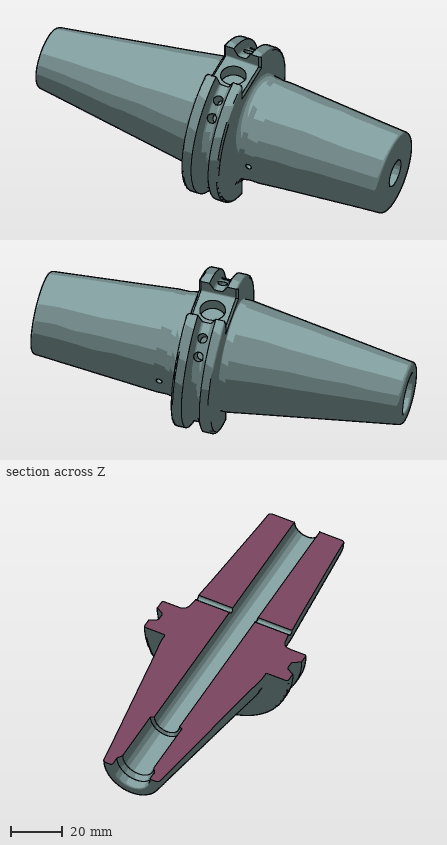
import cadquery as cq
import math

total_length = 148.2
gauge_x = 68.2
flange_front_x = 71.3
flange_width = 15.9
flange_back_x = flange_front_x + flange_width
flange_middle_x = flange_front_x + flange_width / 2

gauge_radius = 22.2
shank_taper = 7 / 24
shank_end_radius = gauge_radius - gauge_x * shank_taper / 2
shank_end_fillet = 1.8
shank_root_fillet = 0.5

flange_diameter = 63.3
flange_radius = flange_diameter / 2
flange_front_fillet = 1.0
flange_back_fillet = 0.7

groove_floor_radius = 28.3
groove_opening = 7.3
groove_side_angle = 30.0
groove_floor_fillet = 1.0
groove_depth = flange_radius - groove_floor_radius
groove_floor_width = groove_opening - 2 * groove_depth * math.tan(math.radians(groove_side_angle))

nose_root_radius = 20.9
nose_root_end_x = 90.9
nose_band_radius = 20.5
nose_band_start_x = 93.0
nose_end_radius = 16.5
nose_angle = 4.5
nose_cone_length = (nose_band_radius - nose_end_radius) / math.tan(math.radians(nose_angle))
nose_root_fillet = 3.3
nose_end_fillet = 1.3

bore_radius = 5.5
thread_radius = 6.8
thread_end_x = 29.6
drill_point_angle = 118.0
drill_point_length = (thread_radius - bore_radius) / math.tan(math.radians(drill_point_angle / 2))
seat_radius = 7.9
seat_step_length = 0.5
centre_cone_angle = 60.0
centre_cone_length = (seat_radius - thread_radius) / math.tan(math.radians(centre_cone_angle / 2))
mouth_radius = 8.2
mouth_depth = 4.6
mouth_fillet = 0.9

slot_width = 16.5
top_slot_floor_z = 24.9
bottom_slot_floor_z = 22.8
slot_corner_fillet = 0.7
slot_edge_chamfer = 0.9

pocket_diameter = 10.0
pocket_depth = 5.0

groove_hole_diameter = 3.7
groove_hole_depth = 7.4
groove_hole_angles = (30.0, 45.0)

cross_hole_diameter = 2.4
cross_hole_x = 95.0

clearance = 1.5
tolerance = 0.001


def is_circle_at(edge, x, radius):
    """Tell whether an edge is the circle of a given radius around the X axis at x."""
    if edge.geomType() != "CIRCLE":
        return False
    return abs(edge.Center().x - x) < tolerance and abs(edge.radius() - radius) < tolerance


def fillet_circle(body, x, radius, fillet):
    """Round the circular edge of a given radius at x."""
    circles = [edge for edge in body.edges().vals() if is_circle_at(edge, x, radius)]
    return body.newObject(circles).fillet(fillet)


def revolve_about_x(points):
    """Revolve a closed (x, radius) outline about the X axis."""
    return cq.Workplane("XZ").polyline(points).close().revolve(360, (0, 0, 0), (1, 0, 0))


def make_blank():
    """Solid of revolution: shank, grooved flange and nose."""
    half_opening = groove_opening / 2
    half_floor = groove_floor_width / 2
    blank = revolve_about_x([
        (0, 0),
        (0, shank_end_radius),
        (gauge_x, gauge_radius),
        (flange_front_x, gauge_radius),
        (flange_front_x, flange_radius),
        (flange_middle_x - half_opening, flange_radius),
        (flange_middle_x - half_floor, groove_floor_radius),
        (flange_middle_x + half_floor, groove_floor_radius),
        (flange_middle_x + half_opening, flange_radius),
        (flange_back_x, flange_radius),
        (flange_back_x, nose_root_radius),
        (nose_root_end_x, nose_root_radius),
        (nose_band_start_x, nose_band_radius),
        (total_length - nose_cone_length, nose_band_radius),
        (total_length, nose_end_radius),
        (total_length, 0),
    ])
    rounded_circles = [
        (0, shank_end_radius, shank_end_fillet),
        (flange_front_x, gauge_radius, shank_root_fillet),
        (flange_front_x, flange_radius, flange_front_fillet),
        (flange_middle_x - half_floor, groove_floor_radius, groove_floor_fillet),
        (flange_middle_x + half_floor, groove_floor_radius, groove_floor_fillet),
        (flange_back_x, flange_radius, flange_back_fillet),
        (flange_back_x, nose_root_radius, nose_root_fillet),
        (total_length, nose_end_radius, nose_end_fillet),
    ]
    for x, radius, fillet in rounded_circles:
        blank = fillet_circle(blank, x, radius, fillet)
    return blank


def make_bore():
    """Stepped axial bore, widest at the shank end."""
    return revolve_about_x([
        (0, 0),
        (0, mouth_radius),
        (mouth_depth - seat_step_length, mouth_radius),
        (mouth_depth, seat_radius),
        (mouth_depth + centre_cone_length, thread_radius),
        (thread_end_x, thread_radius),
        (thread_end_x + drill_point_length, bore_radius),
        (total_length, bore_radius),
        (total_length, 0),
    ])


def slot_section(x, floor_z, widening, deepening):
    """Rectangular slot outline in the plane at x, open past the flange rim."""
    floor = floor_z - deepening
    height = flange_radius + clearance - floor
    return (
        cq.Workplane("YZ", origin=(x, 0, floor + height / 2))
        .rect(slot_width + 2 * widening, height)
    )


def make_slot(floor_z, floor_chamfer):
    """Driving slot through the flange and the nose root fillet, chamfered at both flange faces."""
    slot = slot_section(flange_front_x, floor_z, 0, 0).extrude(flange_width + nose_root_fillet)
    slot = slot.edges("|X and <Z").fillet(slot_corner_fillet)
    for face_x, inward in ((flange_front_x, 1), (flange_back_x, -1)):
        rim = slot_section(face_x, floor_z, slot_edge_chamfer, floor_chamfer)
        throat = slot_section(face_x + inward * slot_edge_chamfer, floor_z, 0, 0)
        chamfer = cq.Solid.makeLoft([rim.val(), throat.val()], True)
        slot = slot.union(cq.Workplane(chamfer))
    return slot


def make_pocket():
    """Round blind pocket in the top slot floor."""
    return (
        cq.Workplane("XY", origin=(flange_middle_x, 0, top_slot_floor_z - pocket_depth))
        .circle(pocket_diameter / 2)
        .extrude(pocket_depth + clearance)
    )


def make_groove_hole(angle):
    """Blind radial hole, tilted about X by an angle from +Z."""
    return (
        cq.Workplane("XY", origin=(flange_middle_x, 0, groove_floor_radius - groove_hole_depth))
        .circle(groove_hole_diameter / 2)
        .extrude(groove_hole_depth + clearance)
        .rotate((0, 0, 0), (1, 0, 0), angle)
    )


def make_cross_hole():
    """Small hole along Y through both nose walls."""
    return (
        cq.Workplane("XZ", origin=(cross_hole_x, 0, 0))
        .circle(cross_hole_diameter / 2)
        .extrude(nose_root_radius, both=True)
    )


result = make_blank().cut(make_bore())
result = fillet_circle(result, 0, mouth_radius, mouth_fillet)
result = result.cut(make_slot(top_slot_floor_z, slot_edge_chamfer))
result = result.cut(make_slot(bottom_slot_floor_z, 0).rotate((0, 0, 0), (1, 0, 0), 180))
result = result.cut(make_pocket())
for hole_angle in groove_hole_angles:
    for side in (-1, 1):
        result = result.cut(make_groove_hole(side * hole_angle))
result = result.cut(make_cross_hole())